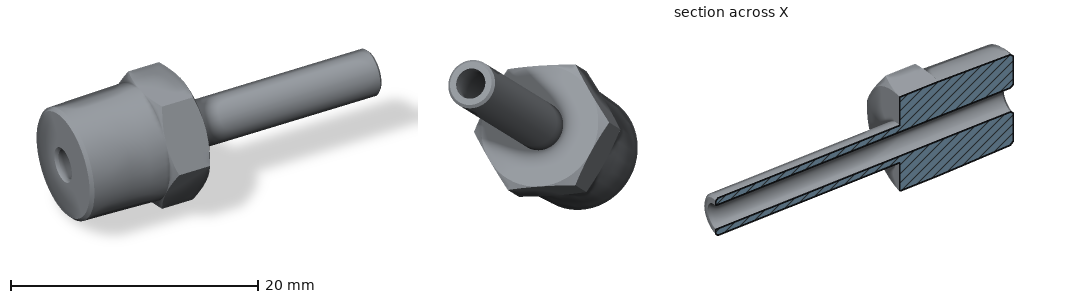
import cadquery as cq
import math

total_length = 28.3
body_length = 7.1
hex_sides = 6
hex_length = 3.7
hex_across_flats = 10.0
body_front_diameter = 9.62
body_chamfer = 0.28
stem_diameter = 4.0
stem_chamfer = 0.23
bore_diameter = 2.5
bore_mouth_diameter = 3.0
hex_chamfer_angle = 30.0

hex_end = body_length + hex_length
hex_across_corners = hex_across_flats / math.cos(math.radians(180 / hex_sides))


def revolve_profile(points):
    """Revolve an outline of (radius, position along Y) points about the Y axis."""
    outline = [(position, radius) for radius, position in points]
    return cq.Workplane("YZ").polyline(outline).close().revolve(360, (0, 0, 0), (1, 0, 0))


def tapered_body():
    front_radius = body_front_diameter / 2
    return revolve_profile([
        (0, 0),
        (front_radius - body_chamfer, 0),
        (front_radius, body_chamfer),
        (hex_across_flats / 2, body_length),
        (0, body_length),
    ])


def hexagon():
    """Hexagon with corners on X, its corners turned down to a cone at both ends."""
    prism = (
        cq.Workplane("XZ", origin=(0, body_length, 0))
        .polygon(hex_sides, hex_across_corners)
        .extrude(-hex_length)
    )
    flat_radius = hex_across_flats / 2
    corner_radius = hex_across_corners / 2
    chamfer_length = (corner_radius - flat_radius) * math.tan(math.radians(hex_chamfer_angle))
    turned_envelope = revolve_profile([
        (0, body_length),
        (flat_radius, body_length),
        (corner_radius, body_length + chamfer_length),
        (corner_radius, hex_end - chamfer_length),
        (flat_radius, hex_end),
        (0, hex_end),
    ])
    return prism.intersect(turned_envelope)


def stem():
    radius = stem_diameter / 2
    return revolve_profile([
        (0, hex_end),
        (radius, hex_end),
        (radius, total_length - stem_chamfer),
        (radius - stem_chamfer, total_length),
        (0, total_length),
    ])


def bore():
    """Through bore with a 45 degree countersink in the body face."""
    bore_radius = bore_diameter / 2
    mouth_radius = bore_mouth_diameter / 2
    return revolve_profile([
        (0, 0),
        (mouth_radius, 0),
        (bore_radius, mouth_radius - bore_radius),
        (bore_radius, total_length),
        (0, total_length),
    ])


result = tapered_body().union(hexagon()).union(stem()).cut(bore())